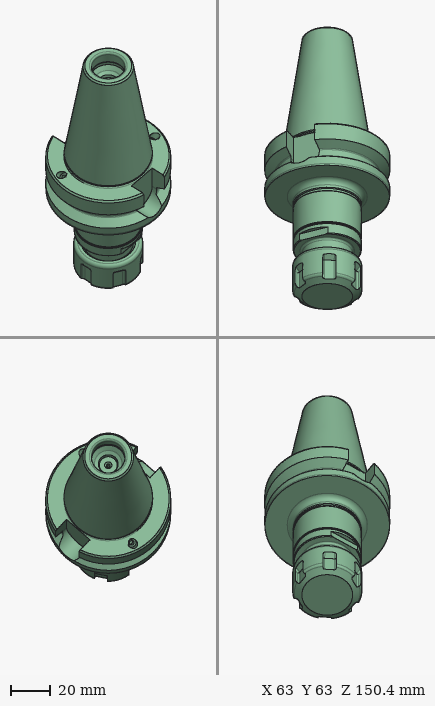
import cadquery as cq
import math

TOTAL_HEIGHT = 150.4

TAPER_BASE_Z = 85.0
TAPER_BASE_RADIUS = 22.3
TAPER_RATIO = 7 / 24
TAPER_TOP_RADIUS = TAPER_BASE_RADIUS - (TOTAL_HEIGHT - TAPER_BASE_Z) * TAPER_RATIO / 2
TAPER_TOP_CHAMFER = 0.9
TAPER_NECK_RADIUS = 21.8
TAPER_NECK_FILLET = 0.6
TAPER_NECK_SLOPE = TAPER_BASE_RADIUS - TAPER_NECK_RADIUS

FLANGE_RADIUS = 31.51
FLANGE_TOP_Z = 83.2
FLANGE_BOTTOM_Z = 58.2
FLANGE_TOP_CHAMFER = 0.9
FLANGE_BOTTOM_CHAMFER_HEIGHT = 0.9
FLANGE_BOTTOM_CHAMFER_DEPTH = 0.2
GROOVE_FLOOR_RADIUS = 26.5
GROOVE_FLOOR_TOP_Z = 70.5
GROOVE_FLOOR_BOTTOM_Z = 66.3
GROOVE_FILLET = 0.6
GROOVE_SIDE_ANGLE = 30.0
GROOVE_SIDE_HEIGHT = (FLANGE_RADIUS - GROOVE_FLOOR_RADIUS) * math.tan(math.radians(GROOVE_SIDE_ANGLE))

KEYWAY_WIDTH = 16.0
KEYWAY_FLOOR_X = 22.33
KEYWAY_BOTTOM_Z = 61.5

PORT_RADIUS = 2.3
PORT_CIRCLE_RADIUS = 26.9
PORT_ANGLE = 70.0
PORT_TILT = 30.0
PORT_DEPTH = 2.7
PORT_DRILL_RADIUS = 1.2
PORT_DRILL_DEPTH = 6.0

BODY_RADIUS = 17.1
BODY_FILLET = 3.0
BODY_BOTTOM_Z = 26.6
BODY_BOTTOM_CHAMFER = 0.5
RING_GROOVE_TOP_Z = 53.7
RING_GROOVE_BOTTOM_Z = 51.6
RING_GROOVE_DEPTH = 0.5
LINE_GROOVE_TOP_Z = 33.7
LINE_GROOVE_BOTTOM_Z = 32.5
LINE_GROOVE_DEPTH = 0.3
FLAT_X = 15.2
FLAT_TOP_Z = 30.5

NECK_RADIUS = 12.6
NECK_FILLET = 1.0

BORE_RADIUS = 8.4
BORE_RIM_FILLET = 1.0
BORE_DEPTH = 6.3
RELIEF_RADIUS = 9.0
RELIEF_TOP_DEPTH = 7.4
RELIEF_BOTTOM_DEPTH = 9.2
STEP_RADIUS = 6.9
STEP_DEPTH = RELIEF_BOTTOM_DEPTH + RELIEF_RADIUS - STEP_RADIUS
SEAT_TOP_RADIUS = 5.0
SEAT_TOP_DEPTH = 12.3
SEAT_RADIUS = 4.5
SEAT_DEPTH = 13.8
COOLANT_RADIUS = 0.9
COOLANT_COUNTERSINK = 0.9
COOLANT_DEPTH = 18.0

NUT_RADIUS = 17.5
NUT_HEIGHT = 19.4
NUT_TOP_FILLET = 2.0
NUT_BOTTOM_RADIUS = 12.8
NUT_CONE_ANGLE = 30.0
NUT_BOTTOM_FILLET = 1.8
NUT_SEAT_CHAMFER = 1.2
SLOT_COUNT = 6
SLOT_START_ANGLE = 30.0
SLOT_WIDTH = 6.8
SLOT_FLOOR_RADIUS = 15.0
SLOT_FILLET = 0.9
HIGH_SLOT_TOP_Z = 12.3
LOW_SLOT_TOP_Z = 10.5

NECK_BOTTOM_Z = NUT_HEIGHT - NUT_SEAT_CHAMFER

CUT_MARGIN = 3.0


def revolve_ring(points):
    """Solid of revolution about Z from (radius, z) points."""
    return cq.Workplane("XZ").polyline(points).close().revolve(360, (0, 0), (0, 1))


def holder_blank():
    """Turned shape of the holder, from the taper down to the neck."""
    groove_top_edge_z = GROOVE_FLOOR_TOP_Z + GROOVE_SIDE_HEIGHT
    groove_bottom_edge_z = GROOVE_FLOOR_BOTTOM_Z - GROOVE_SIDE_HEIGHT
    profile = (
        cq.Workplane("XZ")
        .moveTo(0, TOTAL_HEIGHT)
        .lineTo(TAPER_TOP_RADIUS - TAPER_TOP_CHAMFER, TOTAL_HEIGHT)
        .lineTo(TAPER_TOP_RADIUS, TOTAL_HEIGHT - TAPER_TOP_CHAMFER)
        .lineTo(TAPER_BASE_RADIUS, TAPER_BASE_Z)
        .lineTo(TAPER_NECK_RADIUS, TAPER_BASE_Z - TAPER_NECK_SLOPE)
        .lineTo(TAPER_NECK_RADIUS, FLANGE_TOP_Z + TAPER_NECK_FILLET)
        .radiusArc((TAPER_NECK_RADIUS + TAPER_NECK_FILLET, FLANGE_TOP_Z), -TAPER_NECK_FILLET)
        .lineTo(FLANGE_RADIUS - FLANGE_TOP_CHAMFER, FLANGE_TOP_Z)
        .lineTo(FLANGE_RADIUS, FLANGE_TOP_Z - FLANGE_TOP_CHAMFER)
        .lineTo(FLANGE_RADIUS, groove_top_edge_z)
        .lineTo(GROOVE_FLOOR_RADIUS, GROOVE_FLOOR_TOP_Z)
        .lineTo(GROOVE_FLOOR_RADIUS, GROOVE_FLOOR_BOTTOM_Z)
        .lineTo(FLANGE_RADIUS, groove_bottom_edge_z)
        .lineTo(FLANGE_RADIUS, FLANGE_BOTTOM_Z + FLANGE_BOTTOM_CHAMFER_HEIGHT)
        .lineTo(FLANGE_RADIUS - FLANGE_BOTTOM_CHAMFER_DEPTH, FLANGE_BOTTOM_Z)
        .lineTo(BODY_RADIUS + BODY_FILLET, FLANGE_BOTTOM_Z)
        .radiusArc((BODY_RADIUS, FLANGE_BOTTOM_Z - BODY_FILLET), -BODY_FILLET)
        .lineTo(BODY_RADIUS, BODY_BOTTOM_Z + BODY_BOTTOM_CHAMFER)
        .lineTo(BODY_RADIUS - BODY_BOTTOM_CHAMFER, BODY_BOTTOM_Z)
        .lineTo(NECK_RADIUS + NECK_FILLET, BODY_BOTTOM_Z)
        .radiusArc((NECK_RADIUS, BODY_BOTTOM_Z - NECK_FILLET), -NECK_FILLET)
        .lineTo(NECK_RADIUS, NECK_BOTTOM_Z)
        .lineTo(0, NECK_BOTTOM_Z)
        .close()
    )
    blank = profile.revolve(360, (0, 0), (0, 1))
    groove_floor_rims = cq.selectors.BoxSelector(
        (-1.5, -1.5, GROOVE_FLOOR_BOTTOM_Z - GROOVE_FILLET),
        (1.5, 1.5, GROOVE_FLOOR_TOP_Z + GROOVE_FILLET),
    )
    return blank.edges(groove_floor_rims).fillet(GROOVE_FILLET)


def body_groove(top_z, bottom_z, depth):
    """Ring cutter for a groove with 45 degree sides in the body."""
    return revolve_ring([
        (BODY_RADIUS + depth, top_z + depth),
        (BODY_RADIUS - depth, top_z - depth),
        (BODY_RADIUS - depth, bottom_z + depth),
        (BODY_RADIUS + depth, bottom_z - depth),
    ])


def keyway(side):
    """Round-ended keyway cutter on the +X (side = 1) or -X (side = -1) edge of the flange."""
    end_radius = KEYWAY_WIDTH / 2
    end_z = KEYWAY_BOTTOM_Z + end_radius
    length = FLANGE_RADIUS + CUT_MARGIN - KEYWAY_FLOOR_X
    return (
        cq.Workplane("YZ", origin=(side * KEYWAY_FLOOR_X, 0, 0))
        .moveTo(-end_radius, TAPER_BASE_Z)
        .lineTo(-end_radius, end_z)
        .threePointArc((0, KEYWAY_BOTTOM_Z), (end_radius, end_z))
        .lineTo(end_radius, TAPER_BASE_Z)
        .close()
        .extrude(side * length)
    )


def port(angle):
    """Blind stepped hole in the flange top that leans towards the axis on its way down."""
    tilt = math.radians(PORT_TILT)
    up = cq.Vector(math.sin(tilt), 0, math.cos(tilt))
    mouth = cq.Vector(PORT_CIRCLE_RADIUS, 0, FLANGE_TOP_Z)
    hole = cq.Solid.makeCylinder(PORT_RADIUS, PORT_DEPTH + CUT_MARGIN, mouth - up * PORT_DEPTH, up)
    drill = cq.Solid.makeCylinder(PORT_DRILL_RADIUS, PORT_DRILL_DEPTH, mouth - up * PORT_DRILL_DEPTH, up)
    return cq.Workplane(hole).union(cq.Workplane(drill)).rotate((0, 0, 0), (0, 0, 1), angle)


def body_flat(side):
    """Cutter for the spanner flat on the +X (side = 1) or -X (side = -1) side of the body."""
    length = BODY_RADIUS - FLAT_X + CUT_MARGIN
    height = FLAT_TOP_Z - BODY_BOTTOM_Z
    return (
        cq.Workplane("XY", origin=(side * (FLAT_X + length / 2), 0, BODY_BOTTOM_Z))
        .box(length, 2 * BODY_RADIUS, height, centered=(True, True, False))
    )


def taper_bore():
    """Cutter for the stepped blind bore; depths run down from the top of the taper."""
    return (
        cq.Workplane("XZ", origin=(0, 0, TOTAL_HEIGHT))
        .lineTo(BORE_RADIUS + BORE_RIM_FILLET, 0)
        .radiusArc((BORE_RADIUS, -BORE_RIM_FILLET), -BORE_RIM_FILLET)
        .lineTo(BORE_RADIUS, -BORE_DEPTH)
        .lineTo(RELIEF_RADIUS, -RELIEF_TOP_DEPTH)
        .lineTo(RELIEF_RADIUS, -RELIEF_BOTTOM_DEPTH)
        .lineTo(STEP_RADIUS, -STEP_DEPTH)
        .lineTo(SEAT_TOP_RADIUS, -SEAT_TOP_DEPTH)
        .lineTo(SEAT_RADIUS, -SEAT_DEPTH)
        .lineTo(COOLANT_RADIUS + COOLANT_COUNTERSINK, -SEAT_DEPTH)
        .lineTo(COOLANT_RADIUS, -SEAT_DEPTH - COOLANT_COUNTERSINK)
        .lineTo(COOLANT_RADIUS, -COOLANT_DEPTH)
        .lineTo(0, -COOLANT_DEPTH)
        .close()
        .revolve(360, (0, 0), (0, 1))
    )


def make_holder():
    holder = holder_blank()
    holder = holder.cut(body_groove(RING_GROOVE_TOP_Z, RING_GROOVE_BOTTOM_Z, RING_GROOVE_DEPTH))
    holder = holder.cut(body_groove(LINE_GROOVE_TOP_Z, LINE_GROOVE_BOTTOM_Z, LINE_GROOVE_DEPTH))
    for side in (1, -1):
        holder = holder.cut(keyway(side)).cut(body_flat(side))
    for angle in (PORT_ANGLE, PORT_ANGLE + 180):
        holder = holder.cut(port(angle))
    return holder.cut(taper_bore())


def nut_slot(angle, top_z):
    """Spanner slot cutter, open at the bottom, with a top that rises outwards at 45 degrees."""
    outer_radius = NUT_RADIUS + CUT_MARGIN
    slope_height = outer_radius - SLOT_FLOOR_RADIUS
    slot = (
        cq.Workplane("XZ", origin=(0, SLOT_WIDTH / 2, 0))
        .moveTo(SLOT_FLOOR_RADIUS, -CUT_MARGIN)
        .lineTo(SLOT_FLOOR_RADIUS, top_z)
        .lineTo(outer_radius, top_z + slope_height)
        .lineTo(outer_radius, -CUT_MARGIN)
        .close()
        .extrude(SLOT_WIDTH)
    )
    slot = slot.edges("(|Z and <X) or |(1,0,1)").fillet(SLOT_FILLET)
    return slot.rotate((0, 0, 0), (0, 0, 1), angle)


def make_nut():
    cone = math.radians(NUT_CONE_ANGLE)
    cone_top_z = (NUT_RADIUS - NUT_BOTTOM_RADIUS) * math.tan(cone)
    reach = NUT_BOTTOM_FILLET * math.tan((math.pi / 2 - cone) / 2)
    nut = (
        cq.Workplane("XZ")
        .moveTo(0, 0)
        .lineTo(NUT_BOTTOM_RADIUS, 0)
        .lineTo(NUT_RADIUS - reach * math.cos(cone), cone_top_z - reach * math.sin(cone))
        .radiusArc((NUT_RADIUS, cone_top_z + reach), -NUT_BOTTOM_FILLET)
        .lineTo(NUT_RADIUS, NUT_HEIGHT - NUT_TOP_FILLET)
        .radiusArc((NUT_RADIUS - NUT_TOP_FILLET, NUT_HEIGHT), -NUT_TOP_FILLET)
        .lineTo(NECK_RADIUS + NUT_SEAT_CHAMFER, NUT_HEIGHT)
        .lineTo(NECK_RADIUS, NECK_BOTTOM_Z)
        .lineTo(0, NECK_BOTTOM_Z)
        .close()
        .revolve(360, (0, 0), (0, 1))
    )
    for index in range(SLOT_COUNT):
        angle = SLOT_START_ANGLE + index * 360 / SLOT_COUNT
        top_z = LOW_SLOT_TOP_Z if angle < 180 else HIGH_SLOT_TOP_Z
        nut = nut.cut(nut_slot(angle, top_z))
    return nut


holder = make_holder()
nut = make_nut()
result = cq.Compound.makeCompound([holder.val(), nut.val()])